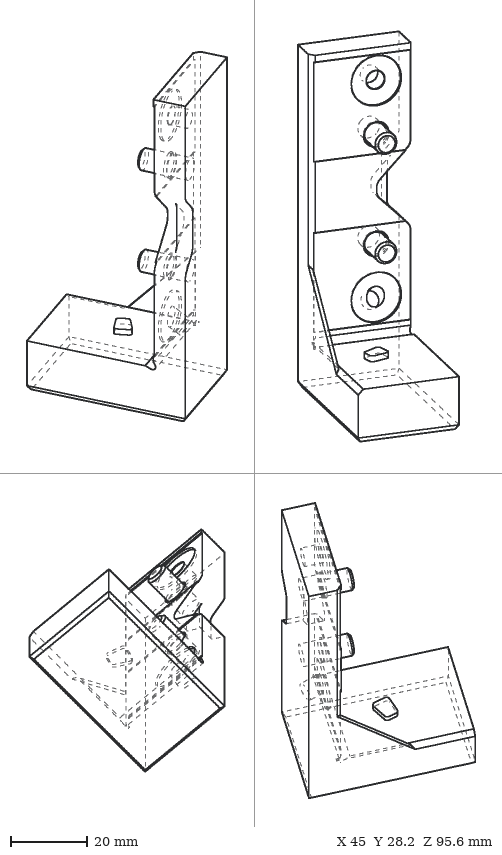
import cadquery as cq
import math

LENGTH = 45.0
WIDTH = 28.2
HEIGHT = 95.6
BASE_TOP = 14.9
LAND_X = 35.9
RELIEF_DEPTH = 0.3
FACE_X = LAND_X + RELIEF_DEPTH
BOTTOM_CHAMFER_HEIGHT = 1.4
BOTTOM_CHAMFER_INSET = 0.9
SIDE_CHAMFER = 1.4
BEVEL_ANGLE = 45.0

MID_Z = 55.8
MID_LAND_HALF = 9.9
TOP_LAND_BOTTOM = 93.6
LOW_LAND_TOP = 18.2
AXIS_Y = 9.6

UNDERCUT_DEPTH = 0.6
UNDERCUT_RADIUS = 1.0
UNDERCUT_BASE_START = 2.3
UNDERCUT_BASE_ARC = 0.8
UNDERCUT_WALL_START = 1.7
UNDERCUT_WALL_ARC = 0.7

NOTCH_MOUTH_HALF = 11.4
NOTCH_DEPTH = AXIS_Y
NOTCH_STEP_DEPTH = 5.0
NOTCH_STEP_X = 40.5
NOTCH_RADIUS = 3.0

GUSSET_THICKNESS = 1.05
GUSSET_START_X = 17.6
GUSSET_END_Z = 35.4

PIN_DIAMETER = 6.0
PIN_TIP_X = 28.5
PIN_CHAMFER = 0.7
PIN_INSERTION = 6.0
PIN_OFFSET_Z = 15.3
PIN_HEIGHTS = [MID_Z - PIN_OFFSET_Z, MID_Z + PIN_OFFSET_Z]
PIN_RECESS_DIAMETER = 7.0
PIN_RECESS_DEPTH = 0.8

HOLE_OFFSET_Z = 30.3
SPOT_DIAMETER = 14.0
SPOT_DEPTH = 0.7
HOLE_DIAMETER = 5.0
HOLE_DEPTH = 5.0
HOLE_CHAMFER = 0.14
LOW_HOLE_TILT = 30.0

PAD_HEIGHT = 1.6
PAD_CORNERS = [(18.0, 17.7), (21.5, 18.6), (24.4, 13.5), (19.5, 12.1)]
PAD_RADIUS = 0.9


def block(x0, x1, y0, y1, z0, z1):
    """Axis-aligned box given by its limits."""
    return cq.Workplane("XY").box(x1 - x0, y1 - y0, z1 - z0, centered=False).translate((x0, y0, z0))


def cylinder_x(diameter, x_start, length, z, taper=0):
    """Cylinder along +X at the shared axis Y; a taper in degrees narrows it toward +X."""
    return cq.Workplane("YZ", origin=(x_start, AXIS_Y, z)).circle(diameter / 2).extrude(length, taper=taper)


def make_l_block():
    """L-shaped block with a chamfered underside."""
    base = block(0, LENGTH, 0, WIDTH, BOTTOM_CHAMFER_HEIGHT, BASE_TOP)
    taper = math.degrees(math.atan(BOTTOM_CHAMFER_INSET / BOTTOM_CHAMFER_HEIGHT))
    foot = (
        cq.Workplane("XY", origin=(LENGTH / 2, WIDTH / 2, BOTTOM_CHAMFER_HEIGHT))
        .rect(LENGTH, WIDTH)
        .extrude(-BOTTOM_CHAMFER_HEIGHT, taper=taper)
    )
    wall = block(LAND_X, LENGTH, 0, WIDTH, BASE_TOP, HEIGHT)
    return base.union(foot).union(wall)


def cut_side_chamfer(body):
    """Chamfer the base top and wall front along the +Y side."""
    floor_cut = (
        cq.Workplane("YZ")
        .polyline([
            (WIDTH, BASE_TOP - SIDE_CHAMFER),
            (WIDTH, BASE_TOP),
            (WIDTH - SIDE_CHAMFER, BASE_TOP),
        ])
        .close()
        .extrude(LAND_X + SIDE_CHAMFER)
    )
    wall_cut = (
        cq.Workplane("XY", origin=(0, 0, BASE_TOP - SIDE_CHAMFER))
        .polyline([
            (LAND_X, WIDTH - SIDE_CHAMFER),
            (LAND_X, WIDTH),
            (LAND_X + SIDE_CHAMFER, WIDTH),
        ])
        .close()
        .extrude(HEIGHT - BASE_TOP + SIDE_CHAMFER)
    )
    return body.cut(floor_cut).cut(wall_cut)


def cut_reliefs(body):
    """Set the wall face back between the top, middle and low lands."""
    spans = [
        (LOW_LAND_TOP, MID_Z - MID_LAND_HALF),
        (MID_Z + MID_LAND_HALF, TOP_LAND_BOTTOM),
    ]
    for z0, z1 in spans:
        body = body.cut(block(LAND_X, FACE_X, 0, WIDTH, z0, z1))
    return body


def cut_undercut(body):
    """Rounded relief groove in the inner corner, along the whole width."""
    groove = (
        cq.Workplane("XZ")
        .moveTo(LAND_X - UNDERCUT_BASE_START, BASE_TOP)
        .lineTo(LAND_X - UNDERCUT_BASE_ARC, BASE_TOP - UNDERCUT_DEPTH)
        .radiusArc((LAND_X + UNDERCUT_DEPTH, BASE_TOP + UNDERCUT_WALL_ARC), -UNDERCUT_RADIUS)
        .lineTo(LAND_X, BASE_TOP + UNDERCUT_WALL_START)
        .lineTo(LAND_X, BASE_TOP)
        .close()
        .extrude(-WIDTH)
    )
    return body.cut(groove)


def notch_cutter(depth, x0, x1):
    """V notch with a flat, rounded root, cut to the given depth in Y."""
    root_half = NOTCH_MOUTH_HALF - depth
    cutter = (
        cq.Workplane("YZ", origin=(x0, 0, MID_Z))
        .polyline([
            (0, -NOTCH_MOUTH_HALF),
            (depth, -root_half),
            (depth, root_half),
            (0, NOTCH_MOUTH_HALF),
        ])
        .close()
        .extrude(x1 - x0)
    )
    return cutter.edges("|X and >Y").fillet(NOTCH_RADIUS)


def mouth_rounding(side):
    """Sliver that rounds one mouth corner of the notch; side is +1 (upper) or -1 (lower)."""
    reach = NOTCH_RADIUS * math.tan(math.radians(BEVEL_ANGLE / 2))
    leg = reach * math.cos(math.radians(BEVEL_ANGLE))
    corner_z = MID_Z + side * NOTCH_MOUTH_HALF
    return (
        cq.Workplane("YZ", origin=(LAND_X, 0, 0))
        .moveTo(0, corner_z + side * reach)
        .radiusArc((leg, corner_z - side * leg), -side * NOTCH_RADIUS)
        .lineTo(0, corner_z)
        .close()
        .extrude(LENGTH - LAND_X)
    )


def cut_notch(body):
    """Deep notch in the front of the wall, shallower one behind it, rounded mouth."""
    body = body.cut(notch_cutter(NOTCH_DEPTH, LAND_X, NOTCH_STEP_X))
    body = body.cut(notch_cutter(NOTCH_STEP_DEPTH, NOTCH_STEP_X, LENGTH))
    for side in (1, -1):
        body = body.cut(mouth_rounding(side))
    return body


def make_gusset():
    """Thin triangular web on the +Y side, run into the side chamfers."""
    slope = (GUSSET_END_Z - BASE_TOP) / (FACE_X - GUSSET_START_X)
    low_z = BASE_TOP - SIDE_CHAMFER
    low_x = GUSSET_START_X - SIDE_CHAMFER / slope
    high_x = LAND_X + SIDE_CHAMFER
    high_z = GUSSET_END_Z + (high_x - FACE_X) * slope
    return (
        cq.Workplane("XZ", origin=(0, WIDTH - GUSSET_THICKNESS, 0))
        .polyline([(low_x, low_z), (high_x, low_z), (high_x, high_z)])
        .close()
        .extrude(-GUSSET_THICKNESS)
    )


def make_pad():
    """Small raised four-sided pad on the base."""
    pad = cq.Workplane("XY", origin=(0, 0, BASE_TOP)).polyline(PAD_CORNERS).close().extrude(PAD_HEIGHT)
    return pad.edges("|Z").fillet(PAD_RADIUS)


def cut_pin_holes(body):
    """Blind pin holes, each with a shallow wider recess at the mouth."""
    for z in PIN_HEIGHTS:
        body = body.cut(cylinder_x(PIN_DIAMETER, FACE_X, PIN_INSERTION, z))
        body = body.cut(cylinder_x(PIN_RECESS_DIAMETER, FACE_X, PIN_RECESS_DEPTH, z))
    return body


def cut_spotfaced_holes(body):
    """Straight chamfered upper hole and tilted lower hole, each in a shallow spotface."""
    upper_z = MID_Z + HOLE_OFFSET_Z
    lower_z = MID_Z - HOLE_OFFSET_Z
    floor_x = FACE_X + SPOT_DEPTH
    for z in (upper_z, lower_z):
        body = body.cut(cylinder_x(SPOT_DIAMETER, FACE_X, SPOT_DEPTH, z))

    body = body.cut(cylinder_x(HOLE_DIAMETER, floor_x, HOLE_DEPTH, upper_z))
    mouth_diameter = HOLE_DIAMETER + 2 * HOLE_CHAMFER
    body = body.cut(cylinder_x(mouth_diameter, floor_x, HOLE_CHAMFER, upper_z, taper=BEVEL_ANGLE))

    tilted = cylinder_x(HOLE_DIAMETER, floor_x - HOLE_DIAMETER, HOLE_DEPTH + HOLE_DIAMETER, lower_z)
    tilted = tilted.rotate((floor_x, 0, lower_z), (floor_x, 1, lower_z), LOW_HOLE_TILT)
    return body.cut(tilted)


def make_bracket():
    body = make_l_block()
    body = cut_side_chamfer(body)
    body = cut_reliefs(body)
    body = cut_undercut(body)
    body = cut_notch(body)
    body = body.union(make_gusset()).union(make_pad())
    body = cut_pin_holes(body)
    return cut_spotfaced_holes(body)


def make_pin(z):
    """Round pin along X with a chamfered tip."""
    pin = cylinder_x(PIN_DIAMETER, PIN_TIP_X, FACE_X + PIN_INSERTION - PIN_TIP_X, z)
    return pin.faces("<X").chamfer(PIN_CHAMFER)


bracket = make_bracket()
pins = [make_pin(z) for z in PIN_HEIGHTS]

result = cq.Compound.makeCompound([bracket.val(), *[pin.val() for pin in pins]])